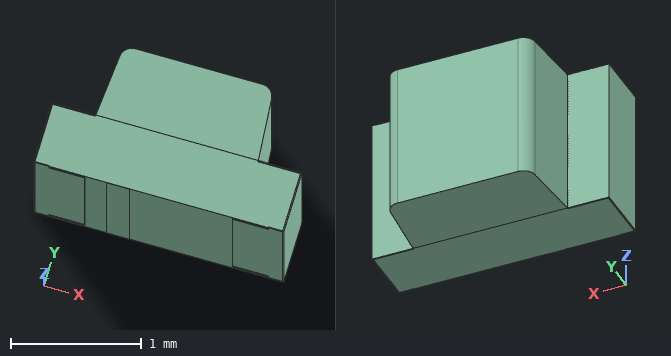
import cadquery as cq

LENGTH = 2.0
HEIGHT = 1.25
TOTAL_DEPTH = 1.1

STRIPE_THICKNESS = 0.002
STRIPE_WIDTH = 0.185
STRIPE_CENTER_X = -0.325

LENS_DEPTH = 0.6
LENS_BASE_WIDTH = 1.3
LENS_TIP_WIDTH = 1.2
LENS_CORNER_RADIUS = 0.1

BOARD_DEPTH = TOTAL_DEPTH - LENS_DEPTH - STRIPE_THICKNESS

PLATING = 0.01
BACK_PLATING_LENGTH = (LENGTH - LENS_BASE_WIDTH) / 2

PAD_THICKNESS = 0.005
PAD_LENGTH = 0.4
PAD_STRIP_LENGTH = 0.115
PAD_MARGIN = 0.038

BOARD_FRONT = STRIPE_THICKNESS
BOARD_BACK = BOARD_FRONT + BOARD_DEPTH
LEFT, RIGHT = -1, 1


def block(x_start, x_end, y_start, y_end, height):
    """A box between two X and two Y positions, centred on Z = 0."""
    return (
        cq.Workplane("XY")
        .box(x_end - x_start, y_end - y_start, height)
        .translate(((x_start + x_end) / 2, (y_start + y_end) / 2, 0))
    )


def on_side(left_body, side):
    """The body itself for the left side, or its mirror image for the right side."""
    return left_body if side == LEFT else left_body.mirror("YZ")


def make_terminal(side):
    """L-shaped plating with an end wall and a back leg that stops at the lens."""
    end = -LENGTH / 2
    end_wall = block(end, end + PLATING, BOARD_FRONT, BOARD_BACK, HEIGHT)
    back_leg = block(end, end + BACK_PLATING_LENGTH, BOARD_BACK - PLATING, BOARD_BACK, HEIGHT)
    return on_side(end_wall.union(back_leg).clean(), side)


def make_pad(side):
    """T-shaped front pad that starts at the inner face of the end terminal."""
    start = -LENGTH / 2 + PLATING
    pad_back = BOARD_FRONT + PAD_THICKNESS
    strip = block(start, start + PAD_STRIP_LENGTH, BOARD_FRONT, pad_back, HEIGHT)
    inner_part = block(start, start + PAD_LENGTH, BOARD_FRONT, pad_back, HEIGHT - 2 * PAD_MARGIN)
    return on_side(strip.union(inner_part).clean(), side)


def make_board(inlays):
    """Rectangular board with recesses that match the terminals and pads."""
    board = block(-LENGTH / 2, LENGTH / 2, BOARD_FRONT, BOARD_BACK, HEIGHT)
    for inlay in inlays:
        board = board.cut(inlay)
    return board


def make_lens():
    """Tapered lens with two rounded outer edges."""
    return (
        cq.Workplane("XY", origin=(0, 0, -HEIGHT / 2))
        .polyline([
            (-LENS_BASE_WIDTH / 2, BOARD_BACK),
            (LENS_BASE_WIDTH / 2, BOARD_BACK),
            (LENS_TIP_WIDTH / 2, TOTAL_DEPTH),
            (-LENS_TIP_WIDTH / 2, TOTAL_DEPTH),
        ])
        .close()
        .extrude(HEIGHT)
        .faces(">Y")
        .edges("|Z")
        .fillet(LENS_CORNER_RADIUS)
    )


def make_stripe():
    """Full-height polarity stripe on the front face of the board."""
    return block(STRIPE_CENTER_X - STRIPE_WIDTH / 2, STRIPE_CENTER_X + STRIPE_WIDTH / 2,
                 0, BOARD_FRONT, HEIGHT)


terminals = [make_terminal(side) for side in (LEFT, RIGHT)]
pads = [make_pad(side) for side in (LEFT, RIGHT)]
board = make_board(terminals + pads)
lens = make_lens()
stripe = make_stripe()

result = cq.Compound.makeCompound([
    board.val(),
    lens.val(),
    stripe.val(),
    *[terminal.val() for terminal in terminals],
    *[pad.val() for pad in pads],
])